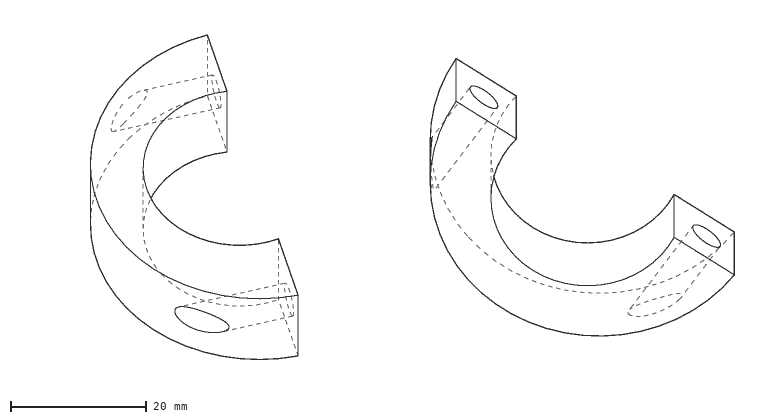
import cadquery as cq
import math

width = 49.95
depth = 24.0
height = 15.0
bore_radius = 14.3
bore_center_y = -2.0
hole_diameter = 5.0
hole_spacing = 39.95

half_width = width / 2
bore_half_width = math.sqrt(bore_radius**2 - bore_center_y**2)
bore_bottom_y = bore_center_y - bore_radius


def half_ring():
    """Clamp half with its flat faces on the plane Y = 0."""
    return (
        cq.Workplane("XY")
        .moveTo(-half_width, 0)
        .threePointArc((0, -depth), (half_width, 0))
        .lineTo(bore_half_width, 0)
        .threePointArc((0, bore_bottom_y), (-bore_half_width, 0))
        .close()
        .extrude(height)
    )


def bolt_holes():
    """Cutters along Y, one through each end of the half ring."""
    return (
        cq.Workplane("XZ")
        .pushPoints([(side * hole_spacing / 2, height / 2) for side in (-1, 1)])
        .circle(hole_diameter / 2)
        .extrude(depth)
    )


result = half_ring().cut(bolt_holes())